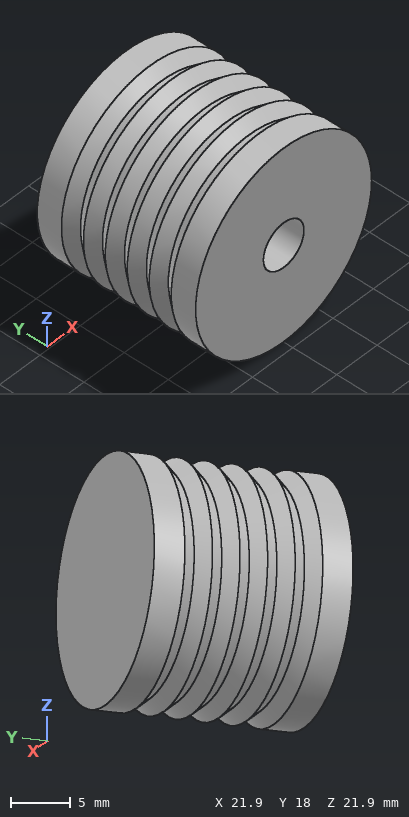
import cadquery as cq

outer_diameter = 21.87
length = 18.0
groove_count = 5
groove_pitch = 2.5
groove_depth = 1.0
bore_diameter = 5.03
bore_depth = 13.12

outer_radius = outer_diameter / 2
front_y = -length / 2
first_groove_y = -groove_count * groove_pitch / 2


def roller_body():
    """Solid cylinder along Y, centred on the origin."""
    profile = cq.Workplane("XY").center(outer_radius / 2, 0).rect(outer_radius, length)
    return profile.revolve(360, (-outer_radius / 2, 0), (-outer_radius / 2, 1))


def v_groove(start_y):
    """Ring with a triangular section, one pitch wide, pointing at the axis."""
    profile = (
        cq.Workplane("XY")
        .moveTo(outer_radius, start_y)
        .lineTo(outer_radius - groove_depth, start_y + groove_pitch / 2)
        .lineTo(outer_radius, start_y + groove_pitch)
        .lineTo(outer_radius + groove_depth, start_y + groove_pitch / 2)
        .close()
    )
    return profile.revolve(360, (0, 0), (0, 1))


def blind_bore():
    """Flat-bottomed bore entering from the -Y face."""
    mouth = cq.Workplane("XZ", origin=(0, front_y, 0))
    return mouth.circle(bore_diameter / 2).extrude(-bore_depth)


result = roller_body()
for index in range(groove_count):
    result = result.cut(v_groove(first_groove_y + index * groove_pitch))
result = result.cut(blind_bore())